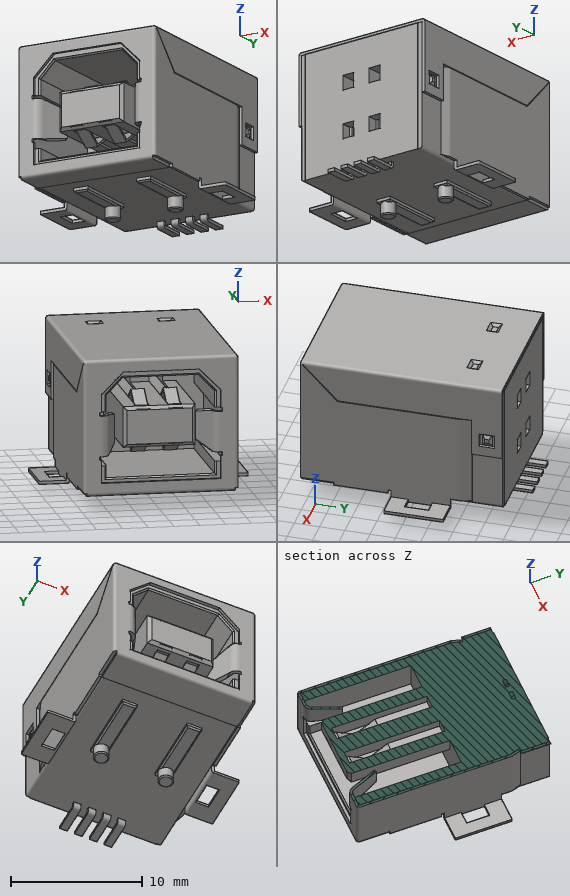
import cadquery as cq
import math


SHELL_WIDTH = 12.0
SHELL_LENGTH = 16.0
SHELL_BOTTOM = 0.55
SHELL_TOP = 11.17
SHEET = 0.25
BEND = SHEET
HALF_WIDTH = SHELL_WIDTH / 2
INNER_HALF_WIDTH = HALF_WIDTH - SHEET
INNER_TOP = SHELL_TOP - SHEET
PANEL_BOTTOM = SHELL_BOTTOM + SHEET
FLAP_LENGTH = 2.7
PANEL_END = 12.7
REAR_FLAP_START = 13.6
REAR_FLAP_BOTTOM = 5.15
RAMP_ANGLE = math.radians(17)
RAMP_BEND = 0.45
SEAM_BOTTOM = 8.1
SEAM_WIDTH = 0.06
SEAM_FRONT = 3.0
MITRE_WIDTH = 0.03

OPENING_HALF_WIDTH = 4.63
OPENING_BOTTOM = 1.56
OPENING_TOP = 10.19
OPENING_TOP_HALF_WIDTH = 2.93
OPENING_SHOULDER = 8.49

TAB_BOTTOM = 3.64
TAB_TOP = 6.81
TAB_TIP_X = 3.13
TAB_TIP_NARROWING = 0.48
TAB_BEND = 0.66
TAB_ANGLE = math.radians(22)
RELIEF_HEIGHT = 0.29
RELIEF_DEPTH = 0.13
RELIEF_CORNER = 0.1

FOOT_SPAN = 16.2
FOOT_FRONT = 7.23
FOOT_REAR = 11.93
FOOT_BEND = 0.2
FOOT_CORNER = 0.1
FOOT_HOLE_FRONT = 8.6
FOOT_HOLE_REAR = 10.5
FOOT_HOLE_OUTER_X = 7.08
FOOT_RELIEF = SHEET

DIMPLE_X = 2.78
DIMPLE_Y = 12.98
DIMPLE_SIZE = (1.22, 0.92)
DIMPLE_FLOOR = (0.72, 0.44)
DIMPLE_DEPTH = 0.2
LATCH_Y = 14.8
LATCH_Z = 6.46
WINDOW_Z = 6.5
LATCH_WINDOW = (1.22, 1.08)
LATCH_BASE = (0.8, 0.92)
LATCH_TIP = (0.34, 0.32)
LATCH_HEIGHT = 0.2

CAVITY_HALF_WIDTH = 4.2
CAVITY_BOTTOM = 1.92
CAVITY_TOP = 9.7
CAVITY_TOP_HALF_WIDTH = 2.93
CAVITY_SHOULDER = 8.38
CAVITY_LEAD_IN = 0.12
CAVITY_CORNER_SHIFT = CAVITY_LEAD_IN * math.tan(math.pi / 8)
CAVITY_REAR = 9.0
HOUSING_EDGE = 0.25
REAR_PAD_HALF_WIDTH = 5.37
REAR_PAD_DEPTH = 0.06
TAB_SLOT_BOTTOM = 2.88
TAB_SLOT_TOP = 7.1
TAB_SLOT_HALF_WIDTH = 4.95
TONGUE_FRONT = 0.6
TONGUE_HALF_WIDTH = 2.79
TONGUE_BOTTOM = 4.12
TONGUE_TOP = 7.3
TONGUE_MIDDLE = (TONGUE_BOTTOM + TONGUE_TOP) / 2
TONGUE_CHAMFER = 0.26
PEG_X = 2.735
PEG_Y = 9.01
PEG_DIAMETER = 1.2
PEG_BOTTOM = -0.8
PEG_CHAMFER = 0.1
RAIL_WIDTH = 1.25
RAIL_FRONT = 4.0
RAIL_BOTTOM = 0.18
RAIL_CHAMFER = 0.13

BEAM_X = 1.255
BEAM_WIDTH = 1.04
BEAM_THICKNESS = 0.2
BEAM_DEPTH = 0.2
BEAM_TIP_LIP = TONGUE_CHAMFER - BEAM_DEPTH
BEAM_RISE_Y = 1.5
BEAM_PEAK_Y = 3.1
UPPER_PEAK_RISE = 0.83
LOWER_PEAK_RISE = 0.87
BEAM_JOG_Y = 12.0
SLOT_RISE = 1.01
SLOT_FRONT = 1.15
SLOT_DEPTH = 1.1
TAIL_PITCH = 1.255
TAIL_WIDTH = 0.63
TAIL_THICKNESS = 0.25
TAIL_FRONT = 14.93
TAIL_TIP = 17.39
TAIL_BEND = 0.3


def box(x0, x1, y0, y1, z0, z1):
    return cq.Workplane("XY").box(x1 - x0, y1 - y0, z1 - z0, centered=False).translate((x0, y0, z0))


def both_sides(right_half):
    return right_half.union(right_half.mirror("YZ"))


def frustum(plane, base, tip, depth):
    """Tapered block standing on the named plane."""
    return cq.Workplane(plane).rect(*base).workplane(offset=depth).rect(*tip).loft()


def d_corners(half_width, bottom, shoulder, top, top_half_width):
    """Corners, as (x, z), of a rectangle with its two upper corners cut off."""
    right = [(half_width, bottom), (half_width, shoulder), (top_half_width, top)]
    return right + [(-x, z) for x, z in reversed(right)]


def d_outline(half_width, bottom, shoulder, top, top_half_width, y):
    """Closed D-shaped outline on the plane at depth y."""
    corners = d_corners(half_width, bottom, shoulder, top, top_half_width)
    return cq.Workplane("XZ", origin=(0, y, 0)).polyline(corners).close()


def shell_box():
    """Folded case: top, front, two sides and a short flap under the front."""
    outer = box(-HALF_WIDTH, HALF_WIDTH, 0, SHELL_LENGTH, SHELL_BOTTOM, SHELL_TOP)
    outer = outer.edges("<Y or (>Z and |Y)").fillet(BEND)
    inner = box(-INNER_HALF_WIDTH, INNER_HALF_WIDTH, SHEET, SHELL_LENGTH, PANEL_BOTTOM, INNER_TOP)
    below = box(-INNER_HALF_WIDTH, INNER_HALF_WIDTH, FLAP_LENGTH, SHELL_LENGTH, SHELL_BOTTOM, PANEL_BOTTOM)
    return outer.cut(inner).cut(below)


def side_panel_cuts():
    """What is trimmed from the right side panel: lower edge, rear end and seam to the top flap."""
    x0, x1 = INNER_HALF_WIDTH, HALF_WIDTH
    cuts = box(x0, x1, 0, FLAP_LENGTH, SHELL_BOTTOM, PANEL_BOTTOM)
    cuts = cuts.union(box(x0, x1, FOOT_FRONT - FOOT_RELIEF, SHELL_LENGTH, SHELL_BOTTOM, PANEL_BOTTOM))
    cuts = cuts.union(box(x0, x1, PANEL_END, REAR_FLAP_START, PANEL_BOTTOM, SEAM_BOTTOM))
    cuts = cuts.union(box(x0, x1, REAR_FLAP_START, SHELL_LENGTH, PANEL_BOTTOM, REAR_FLAP_BOTTOM))
    cuts = cuts.union(box(x0, x1, SEAM_FRONT, REAR_FLAP_START, SEAM_BOTTOM, SEAM_BOTTOM + SEAM_WIDTH))
    mitre = (
        cq.Workplane("YZ", origin=(x0, 0, 0))
        .polyline([
            (SEAM_FRONT, SEAM_BOTTOM),
            (SEAM_FRONT + MITRE_WIDTH, SEAM_BOTTOM + SEAM_WIDTH),
            (BEND + MITRE_WIDTH, SHELL_TOP - BEND),
            (BEND, SHELL_TOP - BEND),
        ])
        .close()
        .extrude(SHEET)
    )
    window = box(
        x0, x1,
        LATCH_Y - LATCH_WINDOW[0] / 2, LATCH_Y + LATCH_WINDOW[0] / 2,
        WINDOW_Z - LATCH_WINDOW[1] / 2, WINDOW_Z + LATCH_WINDOW[1] / 2,
    )
    return cuts.union(mitre).union(window)


def panel_ramp():
    """Rear end of the right side panel, bent inward into the housing."""
    sine, cosine = math.sin(RAMP_ANGLE), math.cos(RAMP_ANGLE)

    def bend_point(radius, angle):
        centre_x = HALF_WIDTH - RAMP_BEND
        return (centre_x + radius * math.cos(angle), PANEL_END + radius * math.sin(angle))

    inner_radius = RAMP_BEND - SHEET
    outer_start = bend_point(RAMP_BEND, RAMP_ANGLE)
    inner_start = bend_point(inner_radius, RAMP_ANGLE)
    length = (REAR_FLAP_START - outer_start[1]) / cosine
    outer_end = (outer_start[0] - length * sine, outer_start[1] + length * cosine)
    inner_end = (inner_start[0] - length * sine, inner_start[1] + length * cosine)
    return (
        cq.Workplane("XY", origin=(0, 0, PANEL_BOTTOM))
        .moveTo(*bend_point(RAMP_BEND, 0))
        .threePointArc(bend_point(RAMP_BEND, RAMP_ANGLE / 2), outer_start)
        .lineTo(*outer_end)
        .lineTo(*inner_end)
        .lineTo(*inner_start)
        .threePointArc(bend_point(inner_radius, RAMP_ANGLE / 2), bend_point(inner_radius, 0))
        .close()
        .extrude(SEAM_BOTTOM - PANEL_BOTTOM)
    )


def spring_tab():
    """Right spring: rolls back from the front wall, then runs rearward and inward, narrowing."""
    sine, cosine = math.sin(TAB_ANGLE), math.cos(TAB_ANGLE)
    sweep = math.pi / 2 - TAB_ANGLE

    def bend_point(radius, turn):
        x = OPENING_HALF_WIDTH - radius * math.sin(turn)
        return (x, TAB_BEND - radius * math.cos(turn))

    inner_radius = TAB_BEND - SHEET
    outer_start = bend_point(TAB_BEND, sweep)
    inner_start = bend_point(inner_radius, sweep)
    length = (outer_start[0] - TAB_TIP_X) / sine
    outer_end = (TAB_TIP_X, outer_start[1] + length * cosine)
    inner_end = (inner_start[0] - length * sine, inner_start[1] + length * cosine)
    strip = (
        cq.Workplane("XY", origin=(0, 0, TAB_BOTTOM))
        .moveTo(*bend_point(TAB_BEND, 0))
        .threePointArc(bend_point(TAB_BEND, sweep / 2), outer_start)
        .lineTo(*outer_end)
        .lineTo(*inner_end)
        .lineTo(*inner_start)
        .threePointArc(bend_point(inner_radius, sweep / 2), bend_point(inner_radius, 0))
        .close()
        .extrude(TAB_TOP - TAB_BOTTOM)
    )
    tapered = (
        cq.Workplane("XZ")
        .polyline([
            (OPENING_HALF_WIDTH, TAB_BOTTOM),
            (OPENING_HALF_WIDTH, TAB_TOP),
            (outer_start[0], TAB_TOP),
            (TAB_TIP_X, TAB_TOP - TAB_TIP_NARROWING),
            (TAB_TIP_X, TAB_BOTTOM + TAB_TIP_NARROWING),
            (outer_start[0], TAB_BOTTOM),
        ])
        .close()
        .extrude(-outer_end[1] - SHEET)
    )
    return strip.intersect(tapered)


def tab_reliefs():
    """Notches above and below the right spring, in the side of the opening."""
    reliefs = cq.Workplane("XY")
    for bottom in (TAB_TOP, TAB_BOTTOM - RELIEF_HEIGHT):
        notch = box(
            OPENING_HALF_WIDTH - RELIEF_DEPTH, OPENING_HALF_WIDTH + RELIEF_DEPTH,
            0, SHEET, bottom, bottom + RELIEF_HEIGHT,
        )
        reliefs = reliefs.add(notch.edges("|Y and >X").fillet(RELIEF_CORNER))
    return reliefs.combine()


def solder_foot():
    """Right foot: drops from the side panel and bends outward onto the board."""
    foot_x = FOOT_SPAN / 2
    foot = (
        cq.Workplane("XZ", origin=(0, FOOT_FRONT, 0))
        .polyline([
            (INNER_HALF_WIDTH, PANEL_BOTTOM),
            (INNER_HALF_WIDTH, 0),
            (foot_x, 0),
            (foot_x, SHEET),
            (HALF_WIDTH, SHEET),
            (HALF_WIDTH, PANEL_BOTTOM),
        ])
        .close()
        .extrude(FOOT_FRONT - FOOT_REAR)
    )
    foot = foot.edges("|Y and <X and <Z").fillet(FOOT_BEND)
    foot = foot.edges("|Z and >X").fillet(FOOT_CORNER)
    hole = box(HALF_WIDTH, FOOT_HOLE_OUTER_X, FOOT_HOLE_FRONT, FOOT_HOLE_REAR, 0, SHEET)
    return foot.cut(hole)


def top_dimples():
    """The two tapered pits that are pressed into the top."""
    pit = frustum("XY", DIMPLE_SIZE, DIMPLE_FLOOR, DIMPLE_DEPTH).mirror("XY")
    return both_sides(pit.translate((DIMPLE_X, DIMPLE_Y, SHELL_TOP)))


def make_shell():
    shell = shell_box()
    opening = d_outline(
        OPENING_HALF_WIDTH, OPENING_BOTTOM, OPENING_SHOULDER, OPENING_TOP, OPENING_TOP_HALF_WIDTH, 0
    ).extrude(-SHEET)
    shell = shell.cut(opening)
    shell = shell.cut(both_sides(tab_reliefs())).cut(both_sides(side_panel_cuts()))
    for part in (panel_ramp(), spring_tab(), solder_foot()):
        shell = shell.union(both_sides(part))
    pits = top_dimples()
    return shell.union(pits.translate((0, 0, -SHEET))).cut(pits)


def upper_beam(x, peak_rise):
    """Spring that surfaces in the tongue's chamfer, rises from its slot, drops and runs to the rear."""
    beam_top = TONGUE_TOP - BEAM_DEPTH
    beam_bottom = beam_top - BEAM_THICKNESS
    drop_y = 2 * BEAM_PEAK_Y - BEAM_RISE_Y
    peak = TONGUE_TOP + peak_rise
    return (
        cq.Workplane("YZ", origin=(x - BEAM_WIDTH / 2, 0, 0))
        .polyline([
            (TONGUE_FRONT, beam_top - BEAM_TIP_LIP),
            (TONGUE_FRONT + BEAM_TIP_LIP, beam_top),
            (BEAM_RISE_Y, beam_top),
            (BEAM_PEAK_Y, peak),
            (drop_y, beam_top),
            (BEAM_JOG_Y, beam_top),
            (BEAM_JOG_Y, beam_bottom),
            (drop_y, beam_bottom),
            (BEAM_PEAK_Y, peak - BEAM_THICKNESS),
            (BEAM_RISE_Y, beam_bottom),
            (SLOT_FRONT, beam_bottom),
        ])
        .close()
        .extrude(BEAM_WIDTH)
    )


def flip_to_lower(upper):
    return upper.mirror("XY", (0, 0, TONGUE_MIDDLE))


def tail(x, arm_bottom):
    """Narrow rear arm that turns down to the board and ends in a solder tail."""
    tail_rear = TAIL_FRONT + TAIL_THICKNESS
    arm_top = arm_bottom + BEAM_THICKNESS
    arm_front = BEAM_JOG_Y - TAIL_WIDTH
    strip = (
        cq.Workplane("YZ", origin=(x - TAIL_WIDTH / 2, 0, 0))
        .polyline([
            (arm_front, arm_top),
            (tail_rear, arm_top),
            (tail_rear, TAIL_THICKNESS),
            (TAIL_TIP, TAIL_THICKNESS),
            (TAIL_TIP, 0),
            (TAIL_FRONT, 0),
            (TAIL_FRONT, arm_bottom),
            (arm_front, arm_bottom),
        ])
        .close()
        .extrude(TAIL_WIDTH)
    )
    bend_corner = cq.selectors.NearestToPointSelector((x, TAIL_FRONT, 0))
    return strip.edges("|X").edges(bend_corner).fillet(TAIL_BEND)


def make_contacts():
    """Upper contacts lead to the two inner tails, lower contacts to the two outer tails."""
    upper_arm = TONGUE_TOP - BEAM_DEPTH - BEAM_THICKNESS
    lower_arm = TONGUE_BOTTOM + BEAM_DEPTH
    contacts = []
    for side in (-1, 1):
        upper = upper_beam(side * BEAM_X, UPPER_PEAK_RISE)
        contacts.append(upper.union(tail(side * TAIL_PITCH / 2, upper_arm)))
        lower = flip_to_lower(upper_beam(side * BEAM_X, LOWER_PEAK_RISE))
        contacts.append(lower.union(tail(side * TAIL_PITCH * 3 / 2, lower_arm)))
    return contacts


def cavity():
    """D-shaped socket with a chamfered mouth and side slots that clear the springs."""
    socket = d_outline(
        CAVITY_HALF_WIDTH, CAVITY_BOTTOM, CAVITY_SHOULDER, CAVITY_TOP, CAVITY_TOP_HALF_WIDTH, SHEET
    ).extrude(SHEET - CAVITY_REAR)
    mouth = (
        d_outline(
            CAVITY_HALF_WIDTH + CAVITY_LEAD_IN,
            CAVITY_BOTTOM - CAVITY_LEAD_IN,
            CAVITY_SHOULDER + CAVITY_CORNER_SHIFT,
            CAVITY_TOP + CAVITY_LEAD_IN,
            CAVITY_TOP_HALF_WIDTH + CAVITY_CORNER_SHIFT,
            SHEET,
        )
        .workplane(offset=-CAVITY_LEAD_IN)
        .polyline(d_corners(
            CAVITY_HALF_WIDTH, CAVITY_BOTTOM, CAVITY_SHOULDER, CAVITY_TOP, CAVITY_TOP_HALF_WIDTH
        ))
        .close()
        .loft(ruled=True)
    )
    slots = box(
        -TAB_SLOT_HALF_WIDTH, TAB_SLOT_HALF_WIDTH, SHEET, CAVITY_REAR, TAB_SLOT_BOTTOM, TAB_SLOT_TOP
    )
    return socket.union(mouth).union(slots)


def tongue():
    bar = box(
        -TONGUE_HALF_WIDTH, TONGUE_HALF_WIDTH, TONGUE_FRONT, CAVITY_REAR, TONGUE_BOTTOM, TONGUE_TOP
    )
    return bar.faces("<Y").edges().chamfer(TONGUE_CHAMFER)


def beam_slots():
    """Slots in the tongue under the springs, and passages behind them through the rear wall."""
    x0, x1 = BEAM_X - BEAM_WIDTH / 2, BEAM_X + BEAM_WIDTH / 2
    slot = box(x0, x1, SLOT_FRONT, CAVITY_REAR, TONGUE_TOP - SLOT_DEPTH, TONGUE_TOP)
    passage = box(
        x0, x1, CAVITY_REAR, SHELL_LENGTH + REAR_PAD_DEPTH,
        TONGUE_TOP - BEAM_DEPTH, TONGUE_TOP + SLOT_RISE,
    )
    upper = slot.union(passage)
    return both_sides(upper.union(flip_to_lower(upper)))


def side_latch():
    """Tapered bump on the right side that sits in the shell's window."""
    bump = frustum("YZ", LATCH_BASE, LATCH_TIP, LATCH_HEIGHT)
    return bump.translate((INNER_HALF_WIDTH, LATCH_Y, LATCH_Z))


def mounting_peg():
    """Right rail under the housing and the peg that enters the board."""
    rail = box(
        PEG_X - RAIL_WIDTH / 2, PEG_X + RAIL_WIDTH / 2,
        RAIL_FRONT, PEG_Y + RAIL_WIDTH / 2, RAIL_BOTTOM, PANEL_BOTTOM,
    )
    rail = rail.faces("<Z").edges().chamfer(RAIL_CHAMFER)
    peg = (
        cq.Workplane("XY", origin=(PEG_X, PEG_Y, PEG_BOTTOM))
        .circle(PEG_DIAMETER / 2)
        .extrude(PANEL_BOTTOM - PEG_BOTTOM)
        .faces("<Z")
        .chamfer(PEG_CHAMFER)
    )
    return rail.union(peg)


def make_housing(shell, contacts):
    body = box(
        -INNER_HALF_WIDTH, INNER_HALF_WIDTH, SHEET, SHELL_LENGTH, SHELL_BOTTOM, INNER_TOP
    )
    body = body.edges("|Y and <Z").fillet(HOUSING_EDGE)
    pad = box(
        -REAR_PAD_HALF_WIDTH, REAR_PAD_HALF_WIDTH,
        SHELL_LENGTH, SHELL_LENGTH + REAR_PAD_DEPTH, SHELL_BOTTOM, INNER_TOP,
    )
    body = body.union(pad).cut(cavity()).union(tongue()).cut(beam_slots())
    body = body.union(both_sides(side_latch())).union(both_sides(mounting_peg()))
    body = body.cut(shell)
    for contact in contacts:
        body = body.cut(contact)
    return body


shell = make_shell()
contacts = make_contacts()
housing = make_housing(shell, contacts)
result = cq.Compound.makeCompound(
    [*shell.vals(), *housing.vals(), *[contact.val() for contact in contacts]]
)